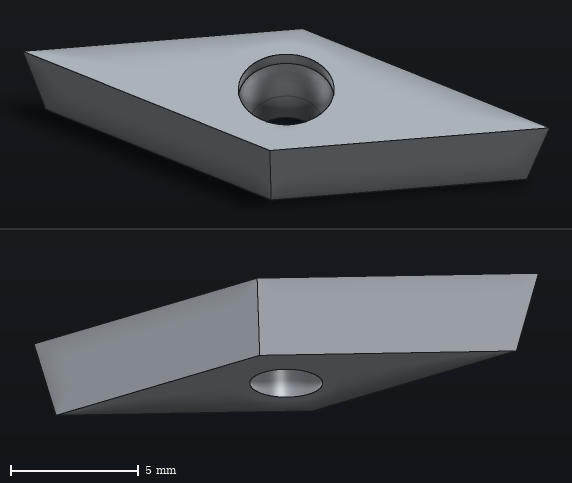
import cadquery as cq
import math

inscribed_diameter = 6.35
thickness = 3.18
nose_angle = 35.0
relief_angle = 5.0

rim_radius = 1.88
bore_radius = 1.43
rim_depth = 0.53
seat_bottom_depth = 1.93


def make_rhombus_body():
    """Rhombus with two edges along X, tapering inward below the top face."""
    edge_length = inscribed_diameter / math.sin(math.radians(nose_angle))
    slant_run = inscribed_diameter / math.tan(math.radians(nose_angle))
    half_height = inscribed_diameter / 2
    long_tip_x = (edge_length + slant_run) / 2
    short_tip_x = (edge_length - slant_run) / 2
    corners = [
        (-long_tip_x, -half_height),
        (short_tip_x, -half_height),
        (long_tip_x, half_height),
        (-short_tip_x, half_height),
    ]
    return (
        cq.Workplane("XY")
        .workplane(offset=thickness)
        .polyline(corners)
        .close()
        .extrude(-thickness, taper=relief_angle)
    )


def make_screw_hole():
    """Solid of revolution about Z that is removed to form the hole."""
    rim_z = thickness - rim_depth
    seat_bottom_z = thickness - seat_bottom_depth
    seat_height = seat_bottom_depth - rim_depth
    seat_width = rim_radius - bore_radius
    seat_radius = (seat_height**2 + seat_width**2) / (2 * seat_width)
    seat_center_radius = bore_radius + seat_radius
    mid_angle = math.asin(seat_height / seat_radius) / 2
    seat_middle = (
        seat_center_radius - seat_radius * math.cos(mid_angle),
        seat_bottom_z + seat_radius * math.sin(mid_angle),
    )
    return (
        cq.Workplane("XZ")
        .moveTo(0, 0)
        .lineTo(bore_radius, 0)
        .lineTo(bore_radius, seat_bottom_z)
        .threePointArc(seat_middle, (rim_radius, rim_z))
        .lineTo(rim_radius, thickness)
        .lineTo(0, thickness)
        .close()
        .revolve(360, (0, 0, 0), (0, 1, 0))
    )


result = make_rhombus_body().cut(make_screw_hole())